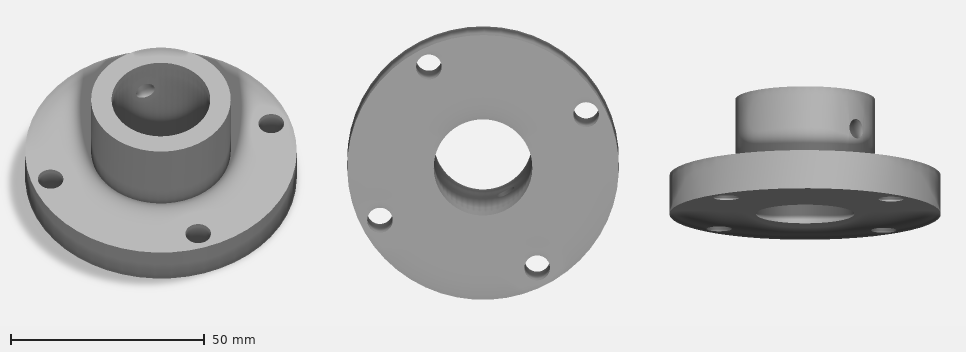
import cadquery as cq

flange_diameter = 70.0
flange_thickness = 10.0

hub_diameter = 36.0
hub_height = 20.0
bore_diameter = 25.4
total_height = flange_thickness + hub_height

bolt_hole_diameter = 6.6
bolt_circle_diameter = 60.0
bolt_count = 4

screw_hole_diameter = 5.05
screw_hole_height = flange_thickness + hub_height / 2


def make_body():
    """Round flange on the XY plane with a coaxial hub above it."""
    flange = cq.Workplane("XY").circle(flange_diameter / 2).extrude(flange_thickness)
    hub = cq.Workplane("XY").circle(hub_diameter / 2).extrude(total_height)
    return flange.union(hub)


def make_bore():
    """Central bore through the full height."""
    return cq.Workplane("XY").circle(bore_diameter / 2).extrude(total_height)


def make_bolt_holes():
    """Equally spaced through holes, starting on the +X axis."""
    return (
        cq.Workplane("XY")
        .polarArray(bolt_circle_diameter / 2, 0, 360, bolt_count)
        .circle(bolt_hole_diameter / 2)
        .extrude(flange_thickness)
    )


def make_screw_hole():
    """Hole through the -X wall of the hub only, ending on the bore axis."""
    return (
        cq.Workplane("YZ")
        .center(0, screw_hole_height)
        .circle(screw_hole_diameter / 2)
        .extrude(-hub_diameter / 2)
    )


result = make_body().cut(make_bore()).cut(make_bolt_holes()).cut(make_screw_hole())